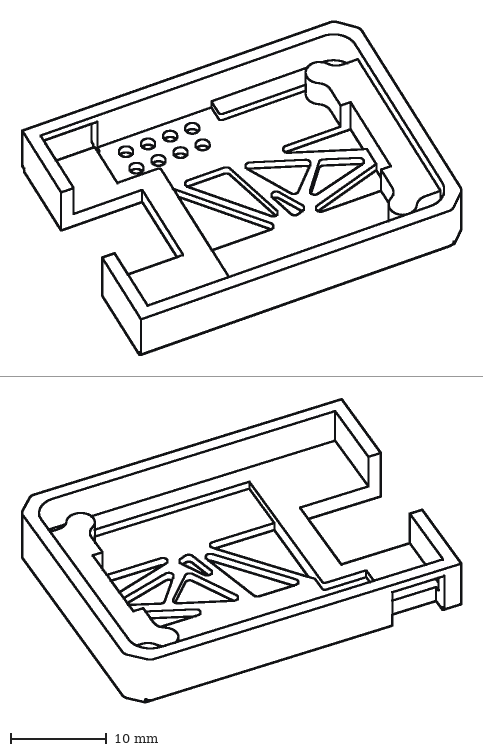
import cadquery as cq
import math

WIDTH = 29.1
LENGTH = 38.0
HEIGHT = 6.0
CORNER_CUT = 2.1
CORNER_CUT_ROUND = 1.0

WALL = 1.45
CAVITY_ROUND = 2.5
FLOOR_Z = 1.95
RECESS_Z = 1.0
PAD_Z = 4.3

STEP_WIDTH = 0.4
STEP_HEIGHT = 0.4

NOTCH_HALF_WIDTH = 5.0
NOTCH_DEPTH = 9.35

RECESS_HALF_WIDTH = 11.02
RECESS_FRONT = 12.35
RECESS_LEDGE_END = 21.13
RECESS_TAB_RIGHT = -7.0
RECESS_TAB_FRONT = 7.4
RECESS_ROUND = 0.3

PAD_LEFT = -10.05
PAD_RIGHT = 10.25
PAD_FRONT = 32.2
LOBE_RADIUS = 1.5
LOBE_BLEND = 1.55

WINDOW_LEFT = -4.95
WINDOW_RIGHT = 4.95
WINDOW_BACK = 33.33
OPENING_ROUND = 0.5

VENT_DIAMETER = 1.5
VENT_PITCH = 2.55
VENT_COLUMNS = 2
VENT_ROWS = 4
VENT_FIRST_X = -11.32
VENT_FIRST_Y = 10.45

SLOT_FRONT = 1.98
SLOT_BACK = 7.98
SLOT_TOP = 5.0
SLOT_INNER_X = -12.55

half_width = WIDTH / 2
cavity_half_width = half_width - WALL
cavity_back = LENGTH - WALL
pad_back = LENGTH - WALL / 2


def block(x_min, x_max, y_min, y_max, z_min, z_max):
    """Box given by its limits along each axis."""
    size = (x_max - x_min, y_max - y_min, z_max - z_min)
    return cq.Workplane("XY").box(*size, centered=False).translate((x_min, y_min, z_min))


def step_toward(start, target, distance):
    """Point at a distance from start on the line to target."""
    ratio = distance / math.dist(start, target)
    return (start[0] + ratio * (target[0] - start[0]), start[1] + ratio * (target[1] - start[1]))


def prism(corners, z_min, z_max):
    """Extruded polygon; each corner is (x, y, radius), where radius 0 keeps it sharp."""
    outline = cq.Workplane("XY").workplane(offset=z_min)
    started = False
    for i, (x, y, radius) in enumerate(corners):
        corner = (x, y)
        before = corners[i - 1][:2]
        after = corners[(i + 1) % len(corners)][:2]
        entry = corner
        if radius > 0:
            cos_angle = (
                (before[0] - x) * (after[0] - x) + (before[1] - y) * (after[1] - y)
            ) / (math.dist(before, corner) * math.dist(after, corner))
            half_angle = math.acos(cos_angle) / 2
            tangent_length = radius / math.tan(half_angle)
            entry = step_toward(corner, before, tangent_length)
            leave = step_toward(corner, after, tangent_length)
            chord_middle = ((entry[0] + leave[0]) / 2, (entry[1] + leave[1]) / 2)
            arc_middle = step_toward(corner, chord_middle, radius / math.sin(half_angle) - radius)
        outline = outline.lineTo(*entry) if started else outline.moveTo(*entry)
        started = True
        if radius > 0:
            outline = outline.threePointArc(arc_middle, leave)
    return outline.close().extrude(z_max - z_min)


def outer_body():
    """Solid envelope with cut and softened back corners and stepped long sides."""
    cut = CORNER_CUT
    soft = CORNER_CUT_ROUND
    body = prism(
        [
            (-half_width, 0, 0),
            (half_width, 0, 0),
            (half_width, LENGTH - cut, soft),
            (half_width - cut, LENGTH, soft),
            (cut - half_width, LENGTH, soft),
            (-half_width, LENGTH - cut, soft),
        ],
        0,
        HEIGHT,
    )
    step_x = half_width - STEP_WIDTH
    body = body.cut(block(-half_width, -step_x, 0, LENGTH, 0, STEP_HEIGHT))
    return body.cut(block(step_x, half_width, 0, LENGTH, 0, STEP_HEIGHT))


def cavity():
    """Space above the floor, rounded at the two back corners."""
    return prism(
        [
            (-cavity_half_width, WALL, 0),
            (cavity_half_width, WALL, 0),
            (cavity_half_width, cavity_back, CAVITY_ROUND),
            (-cavity_half_width, cavity_back, CAVITY_ROUND),
        ],
        FLOOR_Z,
        HEIGHT,
    )


def recess():
    """Lower floor area, reaching the left wall in front of the side ledge."""
    return prism(
        [
            (RECESS_HALF_WIDTH, RECESS_FRONT, 0),
            (RECESS_HALF_WIDTH, PAD_FRONT, 0),
            (-RECESS_HALF_WIDTH, PAD_FRONT, 0),
            (-RECESS_HALF_WIDTH, RECESS_LEDGE_END, RECESS_ROUND),
            (-cavity_half_width, RECESS_LEDGE_END, 0),
            (-cavity_half_width, RECESS_TAB_FRONT, 0),
            (RECESS_TAB_RIGHT, RECESS_TAB_FRONT, 0),
            (RECESS_TAB_RIGHT, RECESS_FRONT, RECESS_ROUND),
        ],
        RECESS_Z,
        FLOOR_Z,
    )


def pad():
    """Raised pad whose front corners swell into lobes through concave blends."""
    reach = math.sqrt((LOBE_RADIUS + LOBE_BLEND) ** 2 - LOBE_BLEND**2)
    share = LOBE_RADIUS / (LOBE_RADIUS + LOBE_BLEND)
    touch_dip = LOBE_BLEND * share
    touch_along = reach * share
    lobe_tip = -LOBE_RADIUS * math.sqrt(0.5)
    half_turn = math.atan2(reach, LOBE_BLEND) / 2
    middle_along = reach - LOBE_BLEND * math.sin(half_turn)
    middle_dip = LOBE_BLEND - LOBE_BLEND * math.cos(half_turn)

    def left(along, out):
        return (PAD_LEFT + along, PAD_FRONT + out)

    def right(along, out):
        return (PAD_RIGHT - along, PAD_FRONT + out)

    return (
        cq.Workplane("XY")
        .workplane(offset=RECESS_Z)
        .moveTo(PAD_LEFT, pad_back)
        .lineTo(*left(0, reach))
        .threePointArc(left(-middle_dip, middle_along), left(-touch_dip, touch_along))
        .threePointArc(left(lobe_tip, lobe_tip), left(touch_along, -touch_dip))
        .threePointArc(left(middle_along, -middle_dip), left(reach, 0))
        .lineTo(*right(reach, 0))
        .threePointArc(right(middle_along, -middle_dip), right(touch_along, -touch_dip))
        .threePointArc(right(lobe_tip, lobe_tip), right(-touch_dip, touch_along))
        .threePointArc(right(-middle_dip, middle_along), right(0, reach))
        .lineTo(PAD_RIGHT, pad_back)
        .close()
        .extrude(PAD_Z - RECESS_Z)
    )


def window_openings():
    """Openings left between the struts of the window."""
    soft = OPENING_ROUND
    outlines = [
        [(-0.95, WINDOW_BACK, 0), (WINDOW_LEFT, WINDOW_BACK, 0), (WINDOW_LEFT, 23.3, soft)],
        [(1.35, WINDOW_BACK, 0), (WINDOW_RIGHT, WINDOW_BACK, 0), (WINDOW_RIGHT, 22.35, soft)],
        [(-1.7, 28.27, soft), (0.35, 33.35, soft), (2.95, 24.55, soft)],
        [(-4.95, 20.25, soft), (-2.05, 27.6, soft), (1.85, 23.85, soft)],
        [(-3.05, 20.52, soft), (3.75, 24.15, soft), (4.4, 22.45, soft)],
        [(WINDOW_LEFT, 13.53, soft), (WINDOW_LEFT, 19.15, soft), (4.95, 21.75, soft)],
        [(WINDOW_RIGHT, 20.52, soft), (WINDOW_RIGHT, RECESS_FRONT, 0), (WINDOW_LEFT, RECESS_FRONT, 0)],
    ]
    openings = prism(outlines[0], 0, RECESS_Z)
    for outline in outlines[1:]:
        openings = openings.union(prism(outline, 0, RECESS_Z))
    return openings


def vent_holes():
    """Grid of round holes through the recessed floor."""
    centres = [
        (VENT_FIRST_X + column * VENT_PITCH, VENT_FIRST_Y + row * VENT_PITCH)
        for column in range(VENT_COLUMNS)
        for row in range(VENT_ROWS)
    ]
    return cq.Workplane("XY").pushPoints(centres).circle(VENT_DIAMETER / 2).extrude(FLOOR_Z)


window_clearance = block(WINDOW_LEFT, WINDOW_RIGHT, RECESS_FRONT, WINDOW_BACK, RECESS_Z, HEIGHT)
front_notch = block(-NOTCH_HALF_WIDTH, NOTCH_HALF_WIDTH, 0, NOTCH_DEPTH, 0, HEIGHT)
side_slot = block(-half_width, SLOT_INNER_X, SLOT_FRONT, SLOT_BACK, 0, SLOT_TOP)

result = (
    outer_body()
    .cut(cavity())
    .cut(recess())
    .union(pad())
    .cut(window_clearance)
    .cut(window_openings())
    .cut(vent_holes())
    .cut(front_notch)
    .cut(side_slot)
)